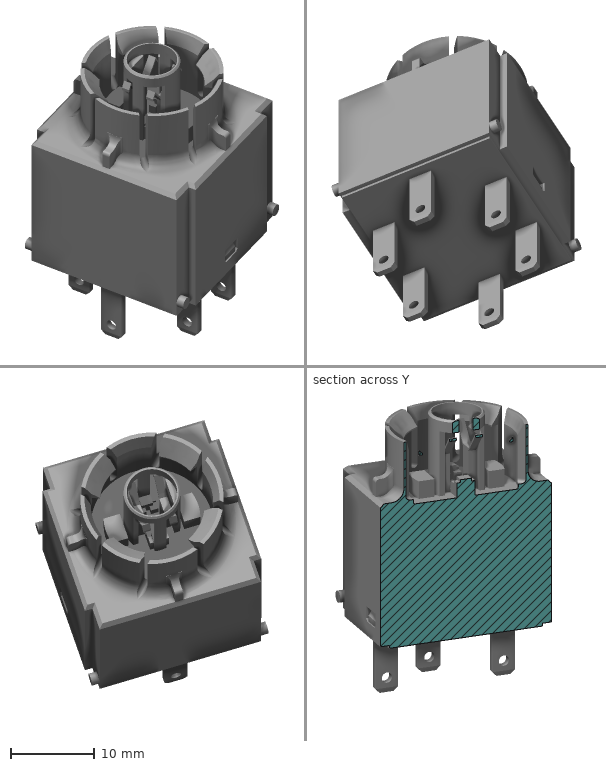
import cadquery as cq
import math

BODY_SIZE = 22.2
BODY_HEIGHT = 18.28
BODY_CHAMFER = 0.47
NOTCH_DEPTH = 0.95
NOTCH_START_Y = 8.23
BASE_X = 19.9
BASE_Y = 21.18
BASE_THICKNESS = 0.35

PIN_DIAMETER = 1.5
PIN_Z = 1.8

WINDOW_WIDTH = 2.95
WINDOW_BOTTOM = 1.8
WINDOW_TOP = 3.7
WINDOW_DEPTH = 0.95
WINDOW_CHAMFER = 0.33
LATCH_WIDTH = 2.4
LATCH_RIDGE_Z = 2.55
LATCH_SETBACK = 0.18

TERMINAL_WIDTH = 2.9
TERMINAL_THICKNESS = 0.87
TERMINAL_HOLE = 1.3
TERMINAL_HOLE_RISE = 1.85
TERMINAL_TIP_HEIGHT = 0.58
TERMINAL_TIP_WIDTH = 1.8
TERMINAL_TIP_THICKNESS = 0.7
CENTRE_TERMINAL_Y = 8.95
CENTRE_TERMINAL_TIP = -8.7
OUTER_TERMINAL_X = 7.58
OUTER_TERMINAL_Y = 3.9
OUTER_TERMINAL_TIP = -8.52

COLLAR_RADIUS = 8.6
COLLAR_BORE_RADIUS = 14.7 / 2
COLLAR_TOP = 25.78
COLLAR_FLOOR = 17.7
COLLAR_LIP_RADIUS = 8.1
LEAD_IN_HEIGHT = 1.6
COLLAR_FILLET = 1.5
SLOT_WIDTH = 0.95
SLOT_OFFSET = 2.97

HOOK_TIP_RADIUS = 6.3
HOOK_DROP = 1.8
HOOK_TIP_HEIGHT = 0.18
HOOK_ROOT_HALF_WIDTH = SLOT_OFFSET - SLOT_WIDTH / 2
HOOK_TIP_HALF_WIDTH = 2.1

RIB_WIDTH = 1.0
RIB_REACH = 10.65
RIB_TOP = 20.5
RIB_NOSE_RADIUS = 0.45
RIB_TOP_FILLET = 1.3
RIB_SIDE_FILLET = 0.5
RIB_SINK = 0.73

TUBE_RADIUS = 6.8 / 2
TUBE_BORE_RADIUS = 6.05 / 2
TUBE_RISE = 9.3
TUBE_TOP = BODY_HEIGHT + TUBE_RISE
TUBE_CHAMFER = 0.2
TUBE_WINDOW_TOP = 26.0
TUBE_WINDOW_INNER_X = 0.73
TUBE_WINDOW_START_Y = 1.78
LEDGE_X = 2.25
LEDGE_TOP = TUBE_WINDOW_TOP
LEDGE_SLOPE_FOOT = 24.65

SOCKET_HALF_X = 1.2
SOCKET_HALF_Y = 2.97
SOCKET_TOP = 19.2
SHOULDER_START_Y = 2.15
SHOULDER_TOP = 19.58
SOCKET_WELL_HALF_Y = 1.25
SOCKET_WELL_DEPTH = 1.1
PAD_HALF_X = 0.73
PAD_INNER_Y = 1.8
PAD_TOP = 19.95
NECK_WIDTH = 0.55

CONTACT_INNER_X = SOCKET_HALF_X
CONTACT_OUTER_X = 2.18
CONTACT_THICKNESS = 0.35
CONTACT_FLAT_HALF_Y = 0.85
CONTACT_FLAT_Z = 22.95
CONTACT_BEND_Y = 1.25
CONTACT_BEND_Z = 23.4
CONTACT_PEAK_Y = 2.85
CONTACT_PEAK_Z = 25.4
CONTACT_END_Y = 3.35
CONTACT_END_Z = 24.62

BOSS_INNER_X = 3.5
BOSS_RADIUS = 5.8
BOSS_WIDTH = 3.35
BOSS_TOP = 19.95

HALF_BODY = BODY_SIZE / 2
COS_45 = math.sqrt(0.5)
OVERLAP = 0.18


def box(x_range, y_range, z_range):
    """Axis-aligned box between the given limits."""
    (x0, x1), (y0, y1), (z0, z1) = x_range, y_range, z_range
    return cq.Workplane("XY").box(x1 - x0, y1 - y0, z1 - z0, centered=False).translate((x0, y0, z0))


def revolve_profile(points):
    """Revolve a closed (radius, z) outline about the Z axis."""
    return cq.Workplane("XZ").polyline(points).close().revolve(360, (0, 0, 0), (0, 1, 0))


def disc(radius, z0, z1):
    """Solid cylinder on the Z axis."""
    return cq.Workplane("XY").workplane(offset=z0).circle(radius).extrude(z1 - z0)


def turned(shape, angle):
    """Shape turned about the Z axis."""
    return shape.rotate((0, 0, 0), (0, 0, 1), angle)


def make_housing():
    housing = box((-HALF_BODY, HALF_BODY), (-HALF_BODY, HALF_BODY), (0, BODY_HEIGHT))
    corners = [(sx, sy) for sx in (-1, 1) for sy in (-1, 1)]
    notch_length = HALF_BODY - NOTCH_START_Y
    notches = cq.Workplane("XY").pushPoints(
        [(sx * HALF_BODY, sy * HALF_BODY) for sx, sy in corners]
    ).rect(2 * NOTCH_DEPTH, 2 * notch_length).extrude(BODY_HEIGHT)
    housing = housing.cut(notches).faces(">Z").chamfer(BODY_CHAMFER)
    pin_y = HALF_BODY - PIN_DIAMETER / 2
    pins = cq.Workplane("YZ").workplane(offset=-HALF_BODY).pushPoints(
        [(-pin_y, PIN_Z), (pin_y, PIN_Z)]
    ).circle(PIN_DIAMETER / 2).extrude(BODY_SIZE)
    base = box((-BASE_X / 2, BASE_X / 2), (-BASE_Y / 2, BASE_Y / 2), (-BASE_THICKNESS, 0))
    return housing.union(pins).union(base)


def make_latch_window():
    """Material to remove from the -X side: a window with a wedge-shaped latch left inside."""
    height = WINDOW_TOP - WINDOW_BOTTOM
    window = (
        cq.Workplane("XY").box(WINDOW_DEPTH, WINDOW_WIDTH, height, centered=(False, True, False))
        .edges("|X and <Z").chamfer(WINDOW_CHAMFER)
        .translate((-HALF_BODY, 0, WINDOW_BOTTOM))
    )
    back = -HALF_BODY + WINDOW_DEPTH
    front = -HALF_BODY + LATCH_SETBACK
    latch = (
        cq.Workplane("XZ")
        .polyline([(back, WINDOW_BOTTOM), (front, WINDOW_BOTTOM), (front, LATCH_RIDGE_Z), (back, WINDOW_TOP)])
        .close().extrude(LATCH_WIDTH / 2, both=True)
    )
    return window.cut(latch)


def make_terminal(x, y, tip_z):
    """Flat blade with a bevelled tip and a cross hole."""
    shoulder_z = tip_z + TERMINAL_TIP_HEIGHT

    def blade(plane, width, tip_width, depth):
        outline = [
            (-width / 2, 0), (-width / 2, shoulder_z), (-tip_width / 2, tip_z),
            (tip_width / 2, tip_z), (width / 2, shoulder_z), (width / 2, 0),
        ]
        return cq.Workplane(plane).polyline(outline).close().extrude(depth, both=True)

    wide = blade("XZ", TERMINAL_WIDTH, TERMINAL_TIP_WIDTH, TERMINAL_THICKNESS)
    thin = blade("YZ", TERMINAL_THICKNESS, TERMINAL_TIP_THICKNESS, TERMINAL_WIDTH)
    hole = (
        cq.Workplane("XZ").center(0, tip_z + TERMINAL_HOLE_RISE)
        .circle(TERMINAL_HOLE / 2).extrude(TERMINAL_THICKNESS, both=True)
    )
    return wide.intersect(thin).cut(hole).translate((x, y, 0))


def make_hook():
    """Snap hook on the +X collar segment, before it is turned onto a diagonal."""
    tip_z = COLLAR_TOP - HOOK_DROP
    root = COLLAR_BORE_RADIUS + OVERLAP
    ring = revolve_profile([
        (COLLAR_LIP_RADIUS, COLLAR_TOP),
        (HOOK_TIP_RADIUS, tip_z),
        (HOOK_TIP_RADIUS, tip_z - HOOK_TIP_HEIGHT),
        (root, tip_z - HOOK_TIP_HEIGHT),
        (COLLAR_LIP_RADIUS, COLLAR_TOP - LEAD_IN_HEIGHT),
    ])
    root_x = math.sqrt(COLLAR_BORE_RADIUS ** 2 - HOOK_ROOT_HALF_WIDTH ** 2)
    tip_x = math.sqrt(HOOK_TIP_RADIUS ** 2 - HOOK_TIP_HALF_WIDTH ** 2)
    plan = cq.Workplane("XY").polyline([
        (tip_x, -HOOK_TIP_HALF_WIDTH), (root_x, -HOOK_ROOT_HALF_WIDTH),
        (COLLAR_RADIUS, -HOOK_ROOT_HALF_WIDTH), (COLLAR_RADIUS, HOOK_ROOT_HALF_WIDTH),
        (root_x, HOOK_ROOT_HALF_WIDTH), (tip_x, HOOK_TIP_HALF_WIDTH),
    ]).threePointArc((HOOK_TIP_RADIUS, 0), (tip_x, -HOOK_TIP_HALF_WIDTH)).close().extrude(COLLAR_TOP)
    return ring.intersect(plan)


def make_slot():
    """Round-bottomed slot along X whose lowest line touches the housing top."""
    radius = SLOT_WIDTH / 2
    floor_z = BODY_HEIGHT + radius
    slot = cq.Workplane("YZ").center(SLOT_OFFSET, floor_z).circle(radius).extrude(HALF_BODY, both=True)
    return slot.union(box(
        (-HALF_BODY, HALF_BODY),
        (SLOT_OFFSET - radius, SLOT_OFFSET + radius),
        (floor_z, COLLAR_TOP + OVERLAP),
    ))


def make_rib():
    """Rib on the +X side of the collar, blended into it above and on both sides."""
    root = COLLAR_RADIUS - RIB_SINK
    nose = RIB_NOSE_RADIUS
    nose_inset = nose * (1 - COS_45)
    flare = RIB_WIDTH / 2 + RIB_SIDE_FILLET
    blend_x = COLLAR_RADIUS + RIB_TOP_FILLET
    blend_z = RIB_TOP + RIB_TOP_FILLET
    side = (
        cq.Workplane("XZ").moveTo(root, BODY_HEIGHT).lineTo(RIB_REACH, BODY_HEIGHT)
        .lineTo(RIB_REACH, RIB_TOP - nose)
        .threePointArc((RIB_REACH - nose_inset, RIB_TOP - nose_inset), (RIB_REACH - nose, RIB_TOP))
        .lineTo(blend_x, RIB_TOP)
        .threePointArc(
            (blend_x - RIB_TOP_FILLET * COS_45, blend_z - RIB_TOP_FILLET * COS_45), (COLLAR_RADIUS, blend_z)
        )
        .lineTo(root, blend_z).close().extrude(flare, both=True)
    )
    centre_x = COLLAR_RADIUS + RIB_SIDE_FILLET
    mid_x = centre_x - RIB_SIDE_FILLET * COS_45
    mid_y = flare - RIB_SIDE_FILLET * COS_45
    plan = (
        cq.Workplane("XY").moveTo(root, -flare).lineTo(COLLAR_RADIUS, -flare)
        .threePointArc((mid_x, -mid_y), (centre_x, -RIB_WIDTH / 2))
        .lineTo(RIB_REACH, -RIB_WIDTH / 2).lineTo(RIB_REACH, RIB_WIDTH / 2).lineTo(centre_x, RIB_WIDTH / 2)
        .threePointArc((mid_x, mid_y), (COLLAR_RADIUS, flare))
        .lineTo(root, flare).close().extrude(COLLAR_TOP)
    )
    return side.intersect(plan)


def make_collar():
    foot = COLLAR_RADIUS + COLLAR_FILLET
    arc_mid = foot - COLLAR_FILLET * COS_45
    arc_mid_z = BODY_HEIGHT + COLLAR_FILLET * (1 - COS_45)
    collar = (
        cq.Workplane("XZ").moveTo(COLLAR_BORE_RADIUS, BODY_HEIGHT - OVERLAP)
        .lineTo(foot, BODY_HEIGHT - OVERLAP).lineTo(foot, BODY_HEIGHT)
        .threePointArc((arc_mid, arc_mid_z), (COLLAR_RADIUS, BODY_HEIGHT + COLLAR_FILLET))
        .lineTo(COLLAR_RADIUS, COLLAR_TOP).lineTo(COLLAR_LIP_RADIUS, COLLAR_TOP)
        .lineTo(COLLAR_BORE_RADIUS, COLLAR_TOP - LEAD_IN_HEIGHT).close()
        .revolve(360, (0, 0, 0), (0, 1, 0))
    )
    slot = make_slot()
    hook = make_hook()
    rib = make_rib()
    for quarter in range(4):
        collar = collar.cut(turned(slot, 45 + 90 * quarter))
    for quarter in range(4):
        collar = collar.union(turned(hook, 45 + 90 * quarter))
        collar = collar.union(turned(rib, 90 * quarter))
    return collar


def make_tube():
    floor_z = COLLAR_FLOOR - OVERLAP
    bore = disc(TUBE_BORE_RADIUS, floor_z, TUBE_TOP)
    tube = disc(TUBE_RADIUS, floor_z, TUBE_TOP).faces(">Z").chamfer(TUBE_CHAMFER).cut(bore)
    ledges = (
        cq.Workplane("XZ")
        .polyline([
            (-TUBE_RADIUS, floor_z), (-LEDGE_X, floor_z),
            (-LEDGE_X, LEDGE_TOP), (-TUBE_RADIUS, LEDGE_TOP),
        ]).close()
        .polyline([
            (LEDGE_X, floor_z), (TUBE_RADIUS, floor_z),
            (TUBE_RADIUS, LEDGE_TOP), (LEDGE_X, LEDGE_SLOPE_FOOT),
        ]).close().extrude(TUBE_RADIUS, both=True)
    )
    tube = tube.union(ledges.intersect(disc(TUBE_BORE_RADIUS + OVERLAP, floor_z, TUBE_TOP)))
    window = box(
        (TUBE_WINDOW_INNER_X, TUBE_RADIUS),
        (TUBE_WINDOW_START_Y, TUBE_RADIUS),
        (COLLAR_FLOOR, TUBE_WINDOW_TOP),
    )
    windows = window.union(window.mirror("YZ"))
    return tube.cut(windows).cut(windows.mirror("XZ"))


def make_contact():
    """Spring contact strip on the +X side, bent up into a ridge at both ends."""
    drop = CONTACT_THICKNESS
    half_upper = [
        (CONTACT_FLAT_HALF_Y, CONTACT_FLAT_Z), (CONTACT_BEND_Y, CONTACT_BEND_Z),
        (CONTACT_PEAK_Y, CONTACT_PEAK_Z), (CONTACT_END_Y, CONTACT_END_Z),
    ]
    upper = [(-y, z) for y, z in reversed(half_upper)] + half_upper
    lower = [(y, z - drop) for y, z in reversed(upper)]
    strip = (
        cq.Workplane("YZ").workplane(offset=CONTACT_INNER_X).polyline(upper + lower).close()
        .extrude(CONTACT_OUTER_X - CONTACT_INNER_X)
    )
    post = box(
        (CONTACT_INNER_X, CONTACT_OUTER_X), (-CONTACT_FLAT_HALF_Y, CONTACT_FLAT_HALF_Y),
        (COLLAR_FLOOR - OVERLAP, CONTACT_FLAT_Z),
    )
    return strip.union(post)


def make_socket():
    floor_z = COLLAR_FLOOR - OVERLAP
    well_z = SOCKET_TOP - SOCKET_WELL_DEPTH
    width = (-SOCKET_HALF_X, SOCKET_HALF_X)
    socket = box(width, (-SOCKET_HALF_Y, SOCKET_HALF_Y), (floor_z, SHOULDER_TOP))
    socket = socket.cut(box(width, (-SHOULDER_START_Y, SHOULDER_START_Y), (SOCKET_TOP, SHOULDER_TOP)))
    socket = socket.intersect(disc(TUBE_RADIUS - OVERLAP, floor_z, SHOULDER_TOP))
    socket = socket.cut(box(width, (-SOCKET_WELL_HALF_Y, SOCKET_WELL_HALF_Y), (well_z, SOCKET_TOP)))
    neck = (-NECK_WIDTH / 2, NECK_WIDTH / 2)
    socket = socket.cut(box(neck, (-PAD_INNER_Y, PAD_INNER_Y), (well_z, SOCKET_TOP)))
    for y_range in ((-SOCKET_HALF_Y, -PAD_INNER_Y), (PAD_INNER_Y, SOCKET_HALF_Y)):
        socket = socket.union(box((-PAD_HALF_X, PAD_HALF_X), y_range, (floor_z, PAD_TOP)))
    contact = make_contact()
    return socket.union(contact).union(turned(contact, 180))


def make_bosses():
    half_width = BOSS_WIDTH / 2
    floor_z = COLLAR_FLOOR - OVERLAP
    right = box((BOSS_INNER_X, BOSS_RADIUS), (-half_width, half_width), (floor_z, BOSS_TOP))
    return right.union(turned(right, 180)).intersect(disc(BOSS_RADIUS, floor_z, BOSS_TOP))


result = make_housing()
latch_window = make_latch_window()
for angle in (0, 180):
    result = result.cut(turned(latch_window, angle))
for side in (-1, 1):
    result = result.union(make_terminal(0, side * CENTRE_TERMINAL_Y, CENTRE_TERMINAL_TIP))
    for end in (-1, 1):
        outer = make_terminal(end * OUTER_TERMINAL_X, side * OUTER_TERMINAL_Y, OUTER_TERMINAL_TIP)
        result = result.union(outer)
result = result.cut(disc(COLLAR_BORE_RADIUS, COLLAR_FLOOR, BODY_HEIGHT))
result = result.union(make_collar()).union(make_tube()).union(make_socket()).union(make_bosses())